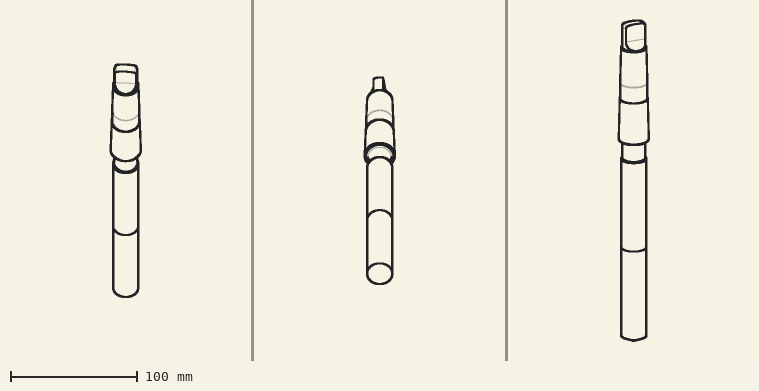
import cadquery as cq
import math

total_length = 270.0
point_height = 4.9
seam_height = 79.5
body_top = 155.2
collar_bottom = 170.0
band_bottom = 205.5
band_top = 218.3
shank_top = 248.8

body_diameter = 20.0
neck_diameter = 18.4
collar_diameter = 24.0
band_diameter = 21.3
shank_top_diameter = 20.2
tang_diameter = 18.4

body_chamfer = (body_diameter - neck_diameter) / 2
collar_chamfer = 1.0
band_step = 0.8
neck_fillet = 1.0
tang_fillet = 2.2
shank_chamfer = 0.5

tang_dome_height = 1.3
tang_thickness = 7.5
flat_radius = 7.0
flat_angle = 60.0

taper_bottom = collar_bottom + collar_chamfer
taper_slope = (collar_diameter - shank_top_diameter) / 2 / (shank_top - taper_bottom)


def taper_radius(height):
    """Radius of the tapered shank at a given height."""
    return collar_diameter / 2 - taper_slope * (height - taper_bottom)


def revolve_profile(points):
    """Turn a (radius, height) outline about the Z axis."""
    return cq.Workplane("XZ").polyline(points).close().revolve(360, (0, 0, 0), (0, 1, 0))


def make_cutting_end():
    """Plain cylinder with a conical drill point."""
    radius = body_diameter / 2
    return revolve_profile([(0, 0), (radius, point_height), (radius, seam_height), (0, seam_height)])


def make_tang_blank():
    """Round tang with a shallow dome and a rounded rim, before its flats are cut."""
    radius = tang_diameter / 2
    dome_radius = (radius**2 + tang_dome_height**2) / (2 * tang_dome_height)
    half_chord = radius / 2
    half_chord_drop = dome_radius - math.sqrt(dome_radius**2 - half_chord**2)
    blank = (
        cq.Workplane("XZ")
        .moveTo(0, shank_top)
        .lineTo(radius, shank_top)
        .lineTo(radius, total_length - tang_dome_height)
        .threePointArc((half_chord, total_length - half_chord_drop), (0, total_length))
        .close()
        .revolve(360, (0, 0, 0), (0, 1, 0))
    )
    tang_rings = blank.edges("%CIRCLE").edges(cq.selectors.RadiusNthSelector(0))
    return tang_rings.edges(">Z").fillet(tang_fillet)


def make_flat_cutter():
    """Prism that mills one tang flat, with a concave round at its foot."""
    flat = tang_thickness / 2
    outside = collar_diameter
    above = total_length + tang_fillet
    arc_middle = flat_radius * (1 - math.sqrt(0.5))
    return (
        cq.Workplane("XZ")
        .moveTo(flat, above)
        .lineTo(flat, shank_top + flat_radius)
        .threePointArc((flat + arc_middle, shank_top + arc_middle), (flat + flat_radius, shank_top))
        .lineTo(outside, shank_top)
        .lineTo(outside, above)
        .close()
        .extrude(collar_diameter, both=True)
    )


def make_holder():
    """Cylindrical body, relieved neck, tapered shank and flatted tang."""
    body_radius = body_diameter / 2
    neck_radius = neck_diameter / 2
    band_radius = band_diameter / 2
    rim_height = shank_top - shank_chamfer
    holder = revolve_profile([
        (0, seam_height),
        (body_radius, seam_height),
        (body_radius, body_top - body_chamfer),
        (neck_radius, body_top),
        (neck_radius, collar_bottom),
        (collar_diameter / 2 - collar_chamfer, collar_bottom),
        (collar_diameter / 2, taper_bottom),
        (taper_radius(band_bottom), band_bottom),
        (band_radius, band_bottom),
        (band_radius, band_top),
        (taper_radius(band_top + band_step), band_top + band_step),
        (taper_radius(rim_height), rim_height),
        (taper_radius(rim_height) - shank_chamfer, shank_top),
        (0, shank_top),
    ])
    holder = holder.union(make_tang_blank())
    neck_corner = cq.selectors.BoxSelector(
        (-neck_diameter, -neck_diameter, collar_bottom - neck_fillet),
        (neck_diameter, neck_diameter, collar_bottom + collar_chamfer / 2),
    )
    rings_under_collar = holder.edges("%CIRCLE").edges(neck_corner)
    holder = rings_under_collar.edges(cq.selectors.RadiusNthSelector(0)).fillet(neck_fillet)
    for side in (-90, 90):
        holder = holder.cut(make_flat_cutter().rotate((0, 0, 0), (0, 0, 1), flat_angle + side))
    return holder


cutting_end = make_cutting_end()
holder = make_holder()

result = cq.Compound.makeCompound([cutting_end.val(), holder.val()])